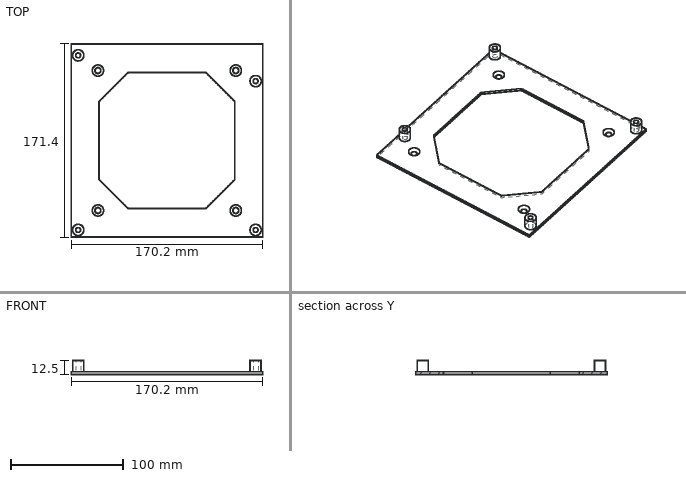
import cadquery as cq

PLATE_WIDTH = 170.18
PLATE_DEPTH = 171.45
PLATE_THICKNESS = 2.5

OPENING_WIDTH = 120.18
OPENING_DEPTH = 120.5
OPENING_CORNER_BEVEL = 25.5

MOUNT_SPACING_X = 122.4
MOUNT_SPACING_Y = 124.2
MOUNT_HOLE_DIAMETER = 5.0
COUNTERSINK_DIAMETER = 10.0

STANDOFF_DIAMETER = 10.0
STANDOFF_BORE_DIAMETER = 4.3
STANDOFF_HEIGHT = 10.0
STANDOFF_EDGE_DISTANCE = 6.35
STANDOFF_SPACING_X = PLATE_WIDTH - 2 * STANDOFF_EDGE_DISTANCE
STANDOFF_SPACING_Y_LEFT = 154.94
STANDOFF_SPACING_Y_RIGHT = 132.08


def make_plate():
    """Rectangular plate with the bevelled rectangular opening."""
    plate = cq.Workplane("XY").box(PLATE_WIDTH, PLATE_DEPTH, PLATE_THICKNESS, centered=(True, True, False))
    opening = (
        cq.Workplane("XY")
        .rect(OPENING_WIDTH, OPENING_DEPTH)
        .extrude(PLATE_THICKNESS)
        .edges("|Z")
        .chamfer(OPENING_CORNER_BEVEL)
    )
    return plate.cut(opening)


def cut_mounting_holes(plate):
    """Four holes whose conical countersink tapers through the full plate thickness."""
    cones = (
        cq.Workplane("XY")
        .rect(MOUNT_SPACING_X, MOUNT_SPACING_Y, forConstruction=True)
        .vertices()
        .eachpoint(
            cq.Solid.makeCone(MOUNT_HOLE_DIAMETER / 2, COUNTERSINK_DIAMETER / 2, PLATE_THICKNESS),
            useLocalCoordinates=True,
        )
    )
    return plate.cut(cones)


def standoff_centers():
    """Standoff positions; the back right one sits further from the back edge."""
    left = -STANDOFF_SPACING_X / 2
    right = STANDOFF_SPACING_X / 2
    front = -PLATE_DEPTH / 2 + STANDOFF_EDGE_DISTANCE
    return [
        (left, front),
        (right, front),
        (left, front + STANDOFF_SPACING_Y_LEFT),
        (right, front + STANDOFF_SPACING_Y_RIGHT),
    ]


def make_standoffs():
    """Tubes standing on the plate, with bores that end at the plate's top face."""
    return (
        cq.Workplane("XY")
        .workplane(offset=PLATE_THICKNESS)
        .pushPoints(standoff_centers())
        .circle(STANDOFF_DIAMETER / 2)
        .circle(STANDOFF_BORE_DIAMETER / 2)
        .extrude(STANDOFF_HEIGHT)
    )


result = cut_mounting_holes(make_plate()).union(make_standoffs())